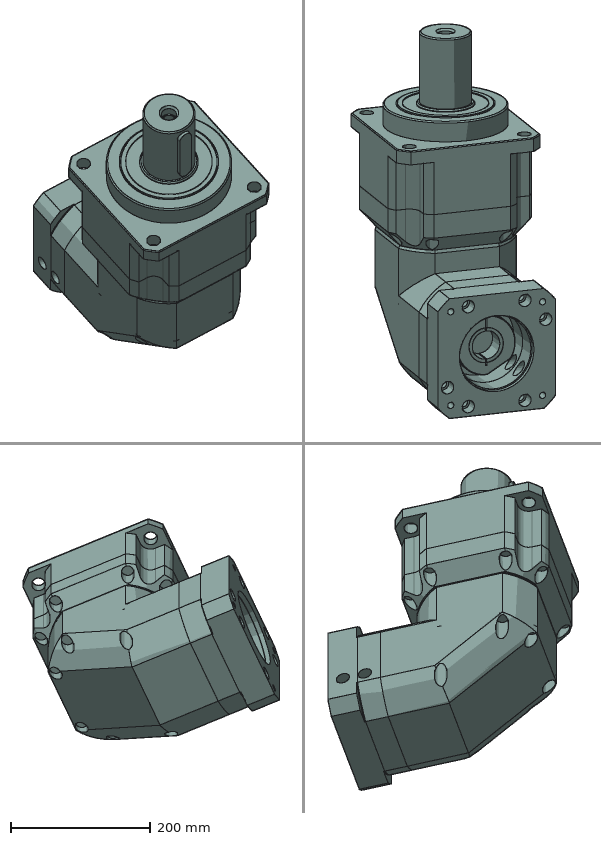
import cadquery as cq
import math


overall_length = 322.0
overall_height = 513.5
gearbox_width = 220.0
leg_width = 180.0
leg_corner_radius = 102.5
taper_inset = 22.0

input_axis_z = leg_width / 2
input_face_x = gearbox_width / 2 - overall_length

elbow_shoulder_z = 210.5
elbow_top_z = 215.0
taper_top_z = 240.0
housing_bottom_z = 275.5
flange_bottom_z = 354.0
flange_top_z = 374.5
pilot_top_z = 405.0
seal_top_z = 406.0
collar_top_z = 407.5

flange_corner_radius = 145.0
flange_chamfer = 1.5
gearbox_corner_radius = leg_corner_radius + taper_inset
bolt_spacing = 176.0
bolt_hole_radius = 10.0
bolt_pocket_wall = 71.5
bolt_pocket_fillet = bolt_spacing / 2 - bolt_pocket_wall
pilot_radius = leg_width / 2
pilot_chamfer = 2.0
seal_bore_chamfer = 2.0

gearbox_screw_circle = 113.0
gearbox_screw_angles = [30, 60, 120, 150, 210, 240, 300, 330]
elbow_screw_circle = 92.0
elbow_screw_angles = [30, 60, 120, 240, 300, 330]
vertical_screw_radius = 9.0
gearbox_screw_seat_z = 246.5
elbow_screw_seat_z = 126.0

bevel_angle = 40.0
bevel_distance = 42.0
bevel_corner_radius = 106.0
bevel_corner_center = -52.0

shaft_radius = 37.5
shaft_chamfer = 2.0
collar_radius = 42.0
collar_chamfer = 2.0
shaft_base_z = flange_bottom_z
center_hole_radius = 11.0
center_hole_depth = 15.5
center_thread_radius = 8.5
center_thread_depth = 46.0
center_mouth_chamfer = 3.0
key_width = 20.0
key_length = 91.5
key_height = 12.0
key_outer_x = 42.0
key_top_z = 506.5
seal_radius = 69.5
seal_lip_radius = 62.0
seal_recess = 1.5
seal_bottom_z = 390.0

plate_thickness = 43.0
plate_boss_height = 1.5
plate_corner_radius = 115.5
adapter_end = 78.5
spigot_radius = 61.5
spigot_length = 3.5
input_bore_radius = 55.0
motor_pilot_radius = 57.0
motor_pilot_depth = 7.0
motor_screw_spacing = 140.5
motor_screw_radius = 4.5
motor_screw_depth = 28.0
plate_screw_circle = 87.0
plate_screw_angles = [30, 60, 120, 210, 240, 300]
plate_screw_head_radius = 9.0
plate_screw_head_depth = 20.5
plate_screw_radius = 6.0
adapter_thread_radius = 4.5
adapter_thread_depth = 20.5
access_hole_radius = 10.0
access_hole_drop = 33.5
plate_access_depth = 22.5
adapter_access_depth = 55.5

hub_radius = 44.5
hub_chamfer = 1.0
hub_flat_distance = 39.5
hub_flat_angle = -60.0
hub_mouth_radius = 26.0
hub_mouth_depth = 1.0
hub_bore_radius = 21.0
hub_bore_depth = 31.0
slit_width = 2.0
slit_bottom_radius = 30.5

drill_point_angle = 118.0


def rounded_section(plane, width, corner_radius, length, taper_angle=0):
    """Prism of a square section whose corners lie on a circle; a taper shrinks both alike."""
    square = plane.rect(width, width).extrude(length, taper=taper_angle)
    disc = plane.circle(corner_radius).extrude(length, taper=taper_angle)
    return square.intersect(disc)


def horizontal_plane(z):
    return cq.Workplane("XY", origin=(0, 0, z))


def input_plane(depth=0.0):
    """Plane facing -X at a depth behind the input face, with local x toward -Y and local y up."""
    origin = (input_face_x + depth, 0, input_axis_z)
    return cq.Workplane(cq.Plane(origin=origin, xDir=(0, -1, 0), normal=(-1, 0, 0)))


def drilled_tool(radius, depth):
    """Drill shape that points down from the origin and ends in a cone."""
    tip_z = -depth - radius / math.tan(math.radians(drill_point_angle / 2))
    outline = cq.Workplane("XZ").polyline([(0, 0), (radius, 0), (radius, -depth), (0, tip_z)])
    return outline.close().revolve(360, (0, 0, 0), (0, 1, 0)).val()


def countersink(hole_radius, chamfer, top_z):
    """45 degree cone that breaks the upper rim of a hole on the Z axis."""
    top = cq.Vector(0, 0, top_z)
    down = cq.Vector(0, 0, -1)
    return cq.Workplane(cq.Solid.makeCone(hole_radius + chamfer, hole_radius, chamfer, top, down))


def polar_points(radius, angles):
    return [(radius * math.cos(math.radians(a)), radius * math.sin(math.radians(a))) for a in angles]


def corner_pockets(bottom_z, top_z):
    """Vertical pockets that clear the flange bolts at the four corners."""
    size = gearbox_width
    spacing = 2 * bolt_pocket_wall + size
    pockets = horizontal_plane(bottom_z).rect(spacing, spacing, forConstruction=True).vertices()
    pockets = pockets.rect(size, size).extrude(top_z - bottom_z)
    return pockets.edges("|Z").fillet(bolt_pocket_fillet)


def access_hole(depth):
    """Hole along Y from the -Y side as far as the input axis plane."""
    plane = cq.Workplane("XZ", origin=(input_face_x + depth, 0, input_axis_z - access_hole_drop))
    return plane.circle(access_hole_radius).extrude(leg_width)


def make_shaft():
    collar_base = horizontal_plane(shaft_base_z).circle(collar_radius)
    collar = collar_base.extrude(collar_top_z - shaft_base_z).faces(">Z").chamfer(collar_chamfer)
    journal = horizontal_plane(collar_top_z).circle(shaft_radius)
    journal = journal.extrude(overall_height - collar_top_z).faces(">Z").chamfer(shaft_chamfer)
    center_thread = drilled_tool(center_thread_radius, center_thread_depth)
    shaft = collar.union(journal)
    shaft = shaft.cut(horizontal_plane(overall_height).circle(center_hole_radius).extrude(-center_hole_depth))
    shaft = shaft.cut(horizontal_plane(overall_height).eachpoint(center_thread, useLocalCoordinates=True))
    shaft = shaft.cut(countersink(center_hole_radius, center_mouth_chamfer, overall_height))
    return shaft.cut(make_key())


def make_key():
    origin = (key_outer_x - key_height, 0, key_top_z - key_length / 2)
    return cq.Workplane("YZ", origin=origin).slot2D(key_length, key_width, 90).extrude(key_height)


def make_seal():
    seal = horizontal_plane(seal_bottom_z).circle(seal_radius).circle(collar_radius)
    seal = seal.extrude(seal_top_z - seal_bottom_z)
    recess = horizontal_plane(seal_top_z - seal_recess).circle(seal_lip_radius).extrude(seal_recess)
    return seal.cut(recess)


def make_output_housing():
    flange_plane = horizontal_plane(flange_bottom_z)
    flange_height = flange_top_z - flange_bottom_z
    flange = rounded_section(flange_plane, gearbox_width, flange_corner_radius, flange_height)
    flange = flange.faces(">Z").chamfer(flange_chamfer)
    flange = flange.cut(
        flange_plane.rect(bolt_spacing, bolt_spacing, forConstruction=True).vertices()
        .circle(bolt_hole_radius).extrude(flange_height)
    )
    pilot = horizontal_plane(flange_top_z).circle(pilot_radius).extrude(pilot_top_z - flange_top_z)
    pilot = pilot.faces(">Z").chamfer(pilot_chamfer)
    body_height = flange_bottom_z - housing_bottom_z
    body = rounded_section(
        horizontal_plane(housing_bottom_z), gearbox_width, gearbox_corner_radius, body_height
    )
    body = body.cut(corner_pockets(housing_bottom_z, flange_bottom_z))
    housing = body.union(flange).union(pilot)
    shaft_bore = horizontal_plane(shaft_base_z).circle(collar_radius).extrude(pilot_top_z - shaft_base_z)
    seal_bore = horizontal_plane(seal_bottom_z).circle(seal_radius).extrude(pilot_top_z - seal_bottom_z)
    housing = housing.cut(shaft_bore).cut(seal_bore)
    return housing.cut(countersink(seal_radius, seal_bore_chamfer, pilot_top_z))


def make_ring_housing():
    straight = rounded_section(
        horizontal_plane(taper_top_z), gearbox_width, gearbox_corner_radius, housing_bottom_z - taper_top_z
    )
    taper_height = taper_top_z - elbow_top_z
    taper_angle = math.degrees(math.atan(taper_inset / taper_height))
    taper_plane = horizontal_plane(taper_top_z).transformed(rotate=(180, 0, 0))
    taper = rounded_section(taper_plane, gearbox_width, gearbox_corner_radius, taper_height, taper_angle)
    ring = straight.union(taper).cut(corner_pockets(elbow_top_z, housing_bottom_z))
    screw_points = polar_points(gearbox_screw_circle, gearbox_screw_angles)
    screws = horizontal_plane(elbow_top_z).pushPoints(screw_points).circle(vertical_screw_radius)
    return ring.cut(screws.extrude(gearbox_screw_seat_z - elbow_top_z))


def bevel_envelope():
    """Long prism along the bevel: flat bevel face between round corners, open on the inner side."""
    half_width = leg_width / 2
    side_end = bevel_corner_center + math.sqrt(bevel_corner_radius**2 - half_width**2)
    face_half = math.sqrt(bevel_corner_radius**2 - (bevel_distance - bevel_corner_center) ** 2)
    arc_offset = bevel_corner_radius * math.sin(math.radians(45))
    arc_mid = bevel_corner_center + arc_offset
    reach = 2 * overall_length
    outward = (math.sin(math.radians(bevel_angle)), 0, -math.cos(math.radians(bevel_angle)))
    along = (math.cos(math.radians(bevel_angle)), 0, math.sin(math.radians(bevel_angle)))
    plane = cq.Plane(origin=(0, 0, input_axis_z), xDir=outward, normal=along)
    outline = cq.Workplane(plane).moveTo(-reach, -half_width).lineTo(side_end, -half_width)
    outline = outline.threePointArc((arc_mid, -arc_offset), (bevel_distance, -face_half))
    outline = outline.lineTo(bevel_distance, face_half)
    outline = outline.threePointArc((arc_mid, arc_offset), (side_end, half_width))
    return outline.lineTo(-reach, half_width).close().extrude(reach, both=True)


def make_elbow():
    flat_half = math.sqrt(leg_corner_radius**2 - (leg_width / 2) ** 2)
    leg_bottom_z = input_axis_z - flat_half
    upright = rounded_section(
        horizontal_plane(leg_bottom_z), leg_width, leg_corner_radius, elbow_shoulder_z - leg_bottom_z
    )
    neck_height = elbow_top_z - elbow_shoulder_z
    neck_inset = (leg_width - gearbox_width) / 2 + taper_inset
    neck_angle = math.degrees(math.atan(neck_inset / neck_height))
    neck = rounded_section(
        horizontal_plane(elbow_shoulder_z), leg_width, leg_corner_radius, neck_height, neck_angle
    )
    level_length = flat_half - input_face_x - adapter_end
    level = rounded_section(input_plane(adapter_end), leg_width, leg_corner_radius, -level_length)
    elbow = upright.union(level).intersect(bevel_envelope()).union(neck)
    screws = cq.Workplane("XY").pushPoints(polar_points(elbow_screw_circle, elbow_screw_angles))
    return elbow.cut(screws.circle(vertical_screw_radius).extrude(elbow_screw_seat_z))


def make_adapter():
    start = plate_thickness + plate_boss_height
    plane = input_plane(start)
    adapter = rounded_section(plane, leg_width, leg_corner_radius, start - adapter_end)
    adapter = adapter.union(plane.circle(spigot_radius).extrude(spigot_length))
    adapter = adapter.cut(input_plane().circle(input_bore_radius).extrude(-adapter_end))
    thread = drilled_tool(adapter_thread_radius, adapter_thread_depth)
    thread_points = polar_points(plate_screw_circle, plate_screw_angles)
    adapter = adapter.cut(plane.pushPoints(thread_points).eachpoint(thread, useLocalCoordinates=True))
    return adapter.cut(access_hole(adapter_access_depth))


def make_motor_plate():
    face = input_plane()
    total = plate_thickness + plate_boss_height
    plate = rounded_section(face, leg_width, plate_corner_radius, -plate_thickness)
    boss = rounded_section(input_plane(plate_thickness), leg_width, leg_corner_radius, -plate_boss_height)
    plate = plate.union(boss)
    plate = plate.cut(face.circle(input_bore_radius).extrude(-total))
    spigot_seat = input_plane(total).circle(spigot_radius).extrude(spigot_length)
    plate = plate.cut(spigot_seat).cut(face.circle(motor_pilot_radius).extrude(-motor_pilot_depth))
    screw_points = polar_points(plate_screw_circle, plate_screw_angles)
    plate = plate.cut(face.pushPoints(screw_points).circle(plate_screw_radius).extrude(-total))
    plate = plate.cut(
        face.pushPoints(screw_points).circle(plate_screw_head_radius).extrude(-plate_screw_head_depth)
    )
    motor_screw = drilled_tool(motor_screw_radius, motor_screw_depth)
    offset = motor_screw_spacing / 2
    motor_screw_points = [(y, z) for y in (-offset, offset) for z in (-offset, offset)]
    plate = plate.cut(face.pushPoints(motor_screw_points).eachpoint(motor_screw, useLocalCoordinates=True))
    return plate.cut(access_hole(plate_access_depth))


def make_clamp_hub():
    face = input_plane(plate_thickness)
    length = adapter_end - plate_thickness
    hub = face.circle(hub_radius).extrude(-length)
    flat = face.transformed(rotate=(0, 0, hub_flat_angle)).center(hub_flat_distance + hub_radius, 0)
    hub = hub.cut(flat.rect(2 * hub_radius, 2 * hub_radius).extrude(-length))
    hub = hub.faces("<X").chamfer(hub_chamfer)
    hub = hub.cut(face.circle(hub_mouth_radius).extrude(-hub_mouth_depth))
    hub = hub.cut(face.circle(hub_bore_radius).extrude(-hub_bore_depth))
    slit_length = hub_radius + slit_bottom_radius
    slit = face.center(0, (hub_radius - slit_bottom_radius) / 2).rect(slit_width, slit_length)
    return hub.cut(slit.extrude(-hub_bore_depth))


shaft = make_shaft()
key = make_key()
seal = make_seal()
output_housing = make_output_housing()
ring_housing = make_ring_housing()
elbow = make_elbow()
adapter = make_adapter()
motor_plate = make_motor_plate()
clamp_hub = make_clamp_hub()

bodies = [shaft, key, seal, output_housing, ring_housing, elbow, adapter, motor_plate, clamp_hub]
result = cq.Compound.makeCompound([body.solids().val() for body in bodies])